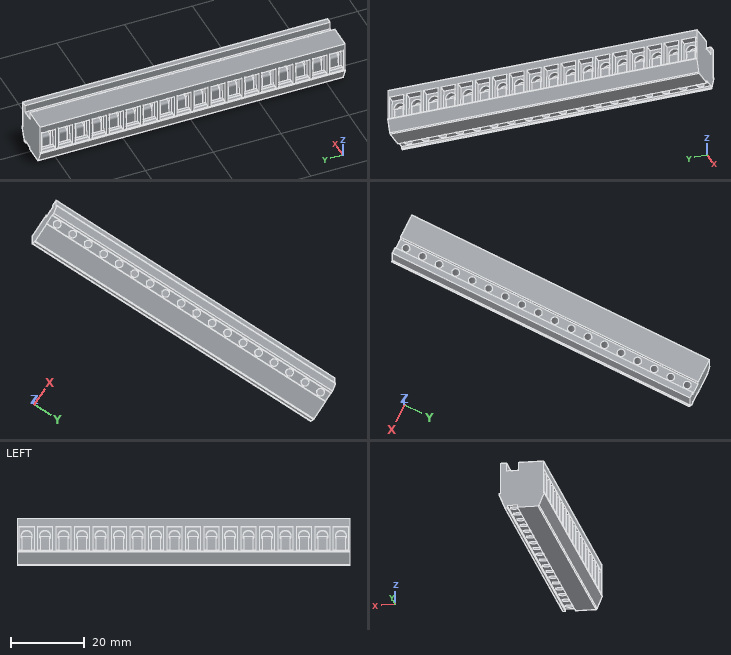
import cadquery as cq
import math

ways = 18
length = 90.0
pitch = length / ways
height = 12.8
width = 12.4

left_lip_depth = 0.2
left_lip_top = 3.9
right_lip_depth = 0.4
right_lip_top = 4.2
chamfer_height = 3.7
foot_left = 1.7
foot_bevel = 0.3
foot_right = 10.9

channel_start = 7.1
channel_end = 10.35
channel_depth = 2.25
relief_start = 7.4
relief_end = 10.2
relief_depth = 0.6

screw_hole_diameter = 2.1
screw_hole_x = (channel_start + channel_end) / 2

pocket_width = 4.1
pocket_mouth_bottom = 4.0
pocket_mouth_top = 10.6
pocket_top = 10.4
pocket_depth = 2.0
pocket_lean = 3.0

sill_depth = 1.2
sill_top = 4.05
ledge_z = 4.1

wire_hole_radius = 1.485
wire_hole_z = 8.0
wire_hole_depth = 1.8

tongue_width = 2.5
tongue_bottom = ledge_z
tongue_top = 7.7
tongue_proud = 0.2
tongue_top_radius = 0.7
tongue_bottom_radius = 0.4


def floor_x(z):
    """X of the leaning pocket floor at height z."""
    return pocket_depth + (z - ledge_z) * math.tan(math.radians(pocket_lean))


def prism(outline, thickness, y_center):
    """Extrude an XZ outline along Y, centred on y_center."""
    sketch = cq.Workplane("XZ", origin=(0, y_center, 0)).polyline(outline).close()
    return sketch.extrude(thickness / 2, both=True)


def make_body():
    right_wall = width - right_lip_depth
    outline = [
        (foot_left, 0),
        (relief_start, 0),
        (relief_start, relief_depth),
        (relief_end, relief_depth),
        (relief_end, 0),
        (foot_right, 0),
        (width, chamfer_height),
        (width, right_lip_top),
        (right_wall, right_lip_top),
        (right_wall, height),
        (channel_end, height),
        (channel_end, height - channel_depth),
        (channel_start, height - channel_depth),
        (channel_start, height),
        (left_lip_depth, height),
        (left_lip_depth, left_lip_top),
        (0, left_lip_top),
        (0, chamfer_height),
        (foot_left - foot_bevel, foot_bevel),
    ]
    return prism(outline, length, length / 2)


def make_screw_hole(y):
    """Hole from the channel through to the underside relief."""
    hole = cq.Workplane("XY").center(screw_hole_x, y).circle(screw_hole_diameter / 2)
    return hole.extrude(height)


def make_pocket(y):
    outline = [
        (0, pocket_mouth_bottom),
        (sill_depth, sill_top),
        (sill_depth, ledge_z),
        (floor_x(ledge_z), ledge_z),
        (floor_x(pocket_top), pocket_top),
        (0, pocket_mouth_top),
    ]
    return prism(outline, pocket_width, y)


def make_wire_hole(y):
    """Blind hole square to the leaning pocket floor."""
    lean = math.radians(pocket_lean)
    mouth = cq.Vector(floor_x(wire_hole_z), y, wire_hole_z)
    inward = cq.Vector(math.cos(lean), 0, -math.sin(lean))
    return cq.Workplane(cq.Solid.makeCylinder(wire_hole_radius, wire_hole_depth, mouth, inward))


def make_tongue(y):
    """Block with rounded front edges; its top rises inward through the wire hole."""
    front = pocket_depth - tongue_proud
    back = floor_x(wire_hole_z) + wire_hole_depth
    top_rise = (back - front) * math.tan(math.radians(pocket_lean))
    outline = [
        (front, tongue_bottom),
        (back, tongue_bottom),
        (back, tongue_top + top_rise),
        (front, tongue_top),
    ]
    block = prism(outline, tongue_width, y)
    block = block.faces("<X").edges(">Z").fillet(tongue_top_radius)
    return block.faces("<X").edges("<Z").fillet(tongue_bottom_radius)


def make_wire_entry(y):
    return make_pocket(y).union(make_wire_hole(y)).cut(make_tongue(y))


result = make_body()
for way in range(ways):
    way_y = (way + 0.5) * pitch
    result = result.cut(make_screw_hole(way_y)).cut(make_wire_entry(way_y))